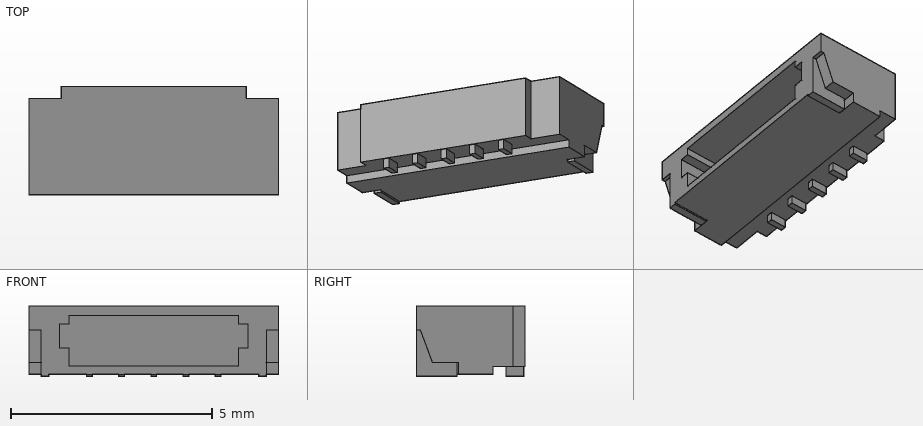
import cadquery as cq

WIDTH = 6.2
DEPTH = 2.7
BODY_HEIGHT = 1.7
FULL_HEIGHT = 1.75

SHOULDER_Y = 2.4
REAR_WIDTH = 4.6
UNDERCUT_Y = 1.905
UNDERCUT_Z = -1.505

CAVITY_WIDTH = 4.205
CAVITY_TOP = -0.24
CAVITY_BOTTOM = -1.495
CAVITY_DEPTH = 1.6
KEY_WIDTH = 4.69
KEY_TOP = -0.445
KEY_BOTTOM = -1.05

POCKET_DEPTH = 0.305
POCKET_TOP = -0.6
POCKET_LEDGE_Z = -1.4
POCKET_TOP_Y = 0.1
POCKET_LEDGE_Y = 0.395
POCKET_BACK_Y = 1.05
CLIP_THICKNESS = 0.19
CLIP_LENGTH = 1.01

PIN_COUNT = 5
PIN_PITCH = 0.8
PIN_WIDTH = 0.15
PIN_FRONT_Y = 2.22
PIN_BACK_Y = 2.665


def block(width, y_front, y_back, z_bottom, z_top, x_center=0.0):
    """Box centred on x_center, given by its front, back, bottom and top."""
    return (
        cq.Workplane("XY")
        .box(width, y_back - y_front, z_top - z_bottom, centered=(True, False, False))
        .translate((x_center, y_front, z_bottom))
    )


def side_slab(points, thickness, x_start):
    """Profile of (y, z) points extruded along +X from x_start."""
    return cq.Workplane("YZ", origin=(x_start, 0, 0)).polyline(points).close().extrude(thickness)


def make_housing():
    front = block(WIDTH, 0, SHOULDER_Y, -BODY_HEIGHT, 0)
    rear = block(REAR_WIDTH, 0, DEPTH, -BODY_HEIGHT, 0)
    undercut = block(WIDTH, UNDERCUT_Y, DEPTH, -BODY_HEIGHT, UNDERCUT_Z)
    return front.union(rear).cut(undercut)


def make_cavity():
    opening = block(CAVITY_WIDTH, 0, CAVITY_DEPTH, CAVITY_BOTTOM, CAVITY_TOP)
    keys = block(KEY_WIDTH, 0, CAVITY_DEPTH, KEY_BOTTOM, KEY_TOP)
    return opening.union(keys)


def make_pocket():
    """Pocket in the -X side, open to the front and the underside."""
    outline = [
        (0, POCKET_TOP),
        (POCKET_TOP_Y, POCKET_TOP),
        (POCKET_LEDGE_Y, POCKET_LEDGE_Z),
        (POCKET_BACK_Y, POCKET_LEDGE_Z),
        (POCKET_BACK_Y, -BODY_HEIGHT),
        (0, -BODY_HEIGHT),
    ]
    return side_slab(outline, POCKET_DEPTH + CLIP_THICKNESS, -WIDTH / 2)


def make_clip():
    """Clip against the inner wall of the -X pocket, standing below the housing."""
    outline = [
        (0, POCKET_TOP),
        (POCKET_TOP_Y, POCKET_TOP),
        (POCKET_LEDGE_Y, POCKET_LEDGE_Z),
        (CLIP_LENGTH, POCKET_LEDGE_Z),
        (CLIP_LENGTH, -FULL_HEIGHT),
        (0, -FULL_HEIGHT),
    ]
    return side_slab(outline, CLIP_THICKNESS, -WIDTH / 2 + POCKET_DEPTH)


result = make_housing().cut(make_cavity())

pocket = make_pocket()
result = result.cut(pocket).cut(pocket.mirror("YZ"))

for pin in range(PIN_COUNT):
    pin_x = (pin - (PIN_COUNT - 1) / 2) * PIN_PITCH
    tail = block(PIN_WIDTH, PIN_FRONT_Y, PIN_BACK_Y, -FULL_HEIGHT, UNDERCUT_Z, pin_x)
    result = result.union(tail)

clip = make_clip()
result = result.union(clip, clean=False).union(clip.mirror("YZ"), clean=False)